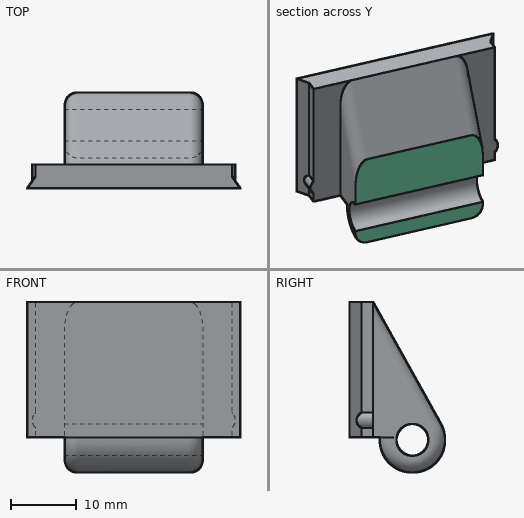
import cadquery as cq
import math

plate_width = 32.45
plate_height = 20.6
plate_thickness = 3.63
bevel_depth = 1.85
bevel_inset = 1.3

bump_height = 2.3
bump_projection = 0.52
bump_z = 2.6

part_depth = 14.6
bracket_width = 21.02
barrel_radius = 5.0
edge_radius = 2.0
hole_diameter = 4.8
barrel_y = part_depth - barrel_radius
barrel_z = -0.4
barrel_bottom = barrel_z - barrel_radius

rise = plate_height - barrel_z
run = barrel_y - plate_thickness
slope_angle = math.atan2(run, rise) + math.asin(barrel_radius / math.hypot(run, rise))
slope_tangent = math.tan(slope_angle)

trim_margin = 9.73


def barrel_point(angle):
    """Point on the barrel outline, with the angle measured from +Y towards +Z."""
    return (
        barrel_y + barrel_radius * math.cos(angle),
        barrel_z + barrel_radius * math.sin(angle),
    )


def slope_z(y):
    """Height of the sloped back at a given Y."""
    return plate_height - (y - plate_thickness) / slope_tangent


def rounded_bracket(arc_end_angle, closing_points):
    """Slope and barrel outline, extruded along X with its side edges rounded."""
    outline = (
        cq.Workplane("YZ")
        .moveTo(*barrel_point(slope_angle))
        .threePointArc(
            barrel_point((slope_angle + arc_end_angle) / 2),
            barrel_point(arc_end_angle),
        )
    )
    for point in closing_points:
        outline = outline.lineTo(*point)
    body = outline.close().extrude(bracket_width / 2, both=True)
    return body.faces("<X or >X").edges().fillet(edge_radius)


def trim_box(y_start, z_start, z_end):
    """Box that keeps the bracket behind y_start and between two heights."""
    return cq.Workplane("XY").box(
        plate_width, part_depth, z_end - z_start, centered=(True, False, False)
    ).translate((0, y_start, z_start))


def make_plate():
    half_width = plate_width / 2
    rear_half_width = half_width - bevel_inset
    return (
        cq.Workplane("XY")
        .polyline([
            (-half_width, 0),
            (half_width, 0),
            (rear_half_width, bevel_depth),
            (rear_half_width, plate_thickness),
            (-rear_half_width, plate_thickness),
            (-rear_half_width, bevel_depth),
        ])
        .close()
        .extrude(plate_height)
    )


def make_bump(side):
    """Shallow cylinder along Y, sunk into one side edge (side is -1 or 1)."""
    radius = ((bump_height / 2) ** 2 + bump_projection ** 2) / (2 * bump_projection)
    center_x = plate_width / 2 - bevel_inset + bump_projection - radius
    return (
        cq.Workplane("XZ")
        .center(side * center_x, bump_z)
        .circle(radius)
        .extrude(-plate_thickness)
    )


web = rounded_bracket(-math.pi / 2, [
    (-trim_margin, barrel_bottom),
    (-trim_margin, slope_z(-trim_margin)),
]).intersect(trim_box(plate_thickness, 0, plate_height))

barrel_front = barrel_y - barrel_radius
barrel = rounded_bracket(-math.pi, [
    (barrel_front, slope_z(barrel_front)),
]).intersect(trim_box(plate_thickness, barrel_bottom, 0))

hole = (
    cq.Workplane("YZ")
    .center(barrel_y, barrel_z)
    .circle(hole_diameter / 2)
    .extrude(bracket_width, both=True)
)

result = make_plate().union(web).union(barrel).cut(hole)
for side in (-1, 1):
    result = result.union(make_bump(side))